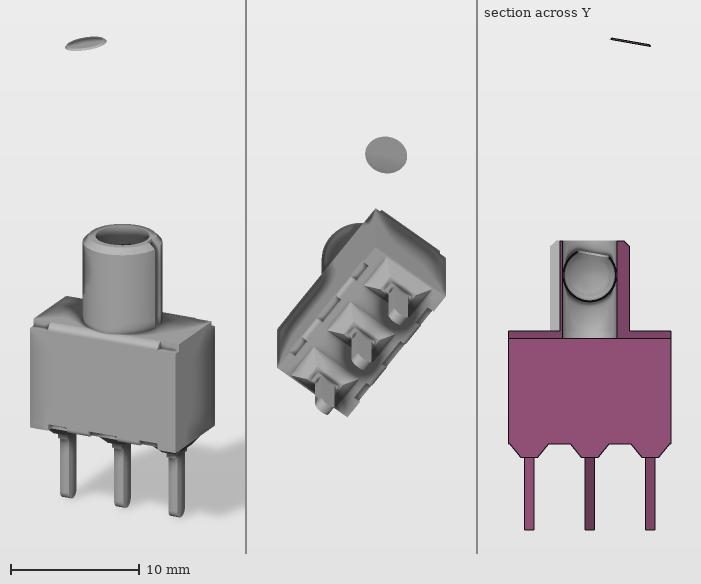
import cadquery as cq
import math


body_length = 12.7
body_width = 6.85
body_height = 8.85

sheet = 0.57
panel_length = 9.55
panel_gap = 0.55
tab_inner_x = 1.23
tab_outer_x = 3.15
tab_round = 0.4

bushing_diameter = 6.2
bushing_top = 15.85
bushing_chamfer = 0.45
bore_diameter = 4.2
keyway_width = 1.0
keyway_floor_x = 2.35

ball_diameter = bore_diameter
ball_depth = 2.7
ball_wall = 0.1
mouth_diameter = 2.45
lever_tilt = 10.0
cap_diameter = 3.3
cap_thickness = 0.15
overall_height = 38.32

terminal_pitch = 4.7
terminal_thickness = 0.8
terminal_width = 1.3
terminal_reach = 6.65
collar_width = 2.0
collar_height = 0.45
boss_height = 1.05
boss_base = (3.0, 4.45)
boss_tip = (1.3, 2.53)

top_of_part = overall_height - terminal_reach
block_top = body_height - sheet
panel_pocket_y = body_width / 2 - sheet
terminal_xs = [i * terminal_pitch for i in (-1, 0, 1)]
tilt = math.radians(lever_tilt)
ball_radius = ball_diameter / 2
ball_center_z = bushing_top - ball_depth
cap_top_diameter = cap_diameter - 2 * cap_thickness
cap_top_distance = (top_of_part - ball_center_z - cap_top_diameter / 2 * math.sin(tilt)) / math.cos(tilt)


def block(length, width, bottom, top, center_x=0.0, center_y=0.0):
    """Upright box centred at (center_x, center_y) between two heights."""
    return (
        cq.Workplane("XY", origin=(center_x, center_y, bottom))
        .rect(length, width)
        .extrude(top - bottom)
    )


def tapered_boss(x):
    """Four-sided boss that narrows down to a terminal."""
    return (
        cq.Workplane("XY", origin=(x, 0, 0))
        .rect(*boss_base)
        .workplane(offset=-boss_height)
        .rect(*boss_tip)
        .loft(combine=True)
    )


def make_housing():
    """Block with a pocket in each long side for the cover, and the terminal bosses."""
    housing = block(body_length, body_width, 0, block_top)
    for side in (-1, 1):
        pocket_y = side * (panel_pocket_y + sheet / 2)
        housing = housing.cut(block(panel_length, sheet, 0, block_top, center_y=pocket_y))
    for x in terminal_xs:
        housing = housing.union(tapered_boss(x))
    return housing


def make_folded_sheet():
    """Top plate with a side panel folded down each long side, ending in rounded tabs."""
    plate = block(body_length, 2 * panel_pocket_y, block_top, body_height)
    saddle = block(panel_length, body_width, panel_gap, body_height)
    for x in (-1, 1):
        tab_x = x * (tab_inner_x + tab_outer_x) / 2
        tab = block(tab_outer_x - tab_inner_x, body_width, 0, body_height, center_x=tab_x)
        saddle = saddle.union(tab.edges("|X and <Z").fillet(tab_round))
    bend_envelope = block(panel_length, body_width, 0, body_height).edges("|X and >Z").fillet(sheet)
    saddle = saddle.intersect(bend_envelope)
    saddle = saddle.cut(block(panel_length, 2 * panel_pocket_y, 0, block_top))
    return plate.union(saddle)


def make_cover():
    """Folded sheet with its keyed bushing, bored through to the housing."""
    bushing = (
        cq.Workplane("XY", origin=(0, 0, block_top))
        .circle(bushing_diameter / 2)
        .extrude(bushing_top - block_top)
        .faces(">Z")
        .chamfer(bushing_chamfer)
    )
    keyway_depth = bushing_diameter / 2 - keyway_floor_x
    keyway_x = keyway_floor_x + keyway_depth / 2
    keyway = block(keyway_depth, keyway_width, body_height, bushing_top, center_x=keyway_x)
    bore = (
        cq.Workplane("XY", origin=(0, 0, block_top))
        .circle(bore_diameter / 2)
        .extrude(bushing_top - block_top)
    )
    return make_folded_sheet().union(bushing.cut(keyway)).cut(bore)


def place_on_lever(upright):
    """Tilt a shape about the ball centre toward -X and lift it to the ball."""
    return upright.rotate((0, 0, 0), (0, 1, 0), -lever_tilt).translate((0, 0, ball_center_z))


def make_ball():
    """Thin-walled hollow ball with a round mouth facing the cap."""
    cavity = cq.Workplane("XY").sphere(ball_radius - ball_wall)
    mouth = cq.Workplane("XY").circle(mouth_diameter / 2).extrude(ball_diameter)
    return place_on_lever(cq.Workplane("XY").sphere(ball_radius).cut(cavity).cut(mouth))


def make_cap():
    """Thin disc whose whole edge is a 45 degree bevel."""
    cap = (
        cq.Workplane("XY", origin=(0, 0, cap_top_distance - cap_thickness))
        .circle(cap_diameter / 2)
        .workplane(offset=cap_thickness)
        .circle(cap_top_diameter / 2)
        .loft(combine=True)
    )
    return place_on_lever(cap)


def make_terminal(x):
    """Flat blade with a collar at its root and a full-round tip."""
    collar_bottom = -boss_height - collar_height
    tip_radius = terminal_width / 2
    tip_center_z = tip_radius - terminal_reach
    collar = block(terminal_thickness, collar_width, collar_bottom, -boss_height, center_x=x)
    blade = block(terminal_thickness, terminal_width, tip_center_z, collar_bottom, center_x=x)
    tip = (
        cq.Workplane("YZ", origin=(x - terminal_thickness / 2, 0, tip_center_z))
        .circle(tip_radius)
        .extrude(terminal_thickness)
    )
    return collar.union(blade).union(tip)


housing = make_housing()
cover = make_cover()
ball = make_ball()
cap = make_cap()
terminals = [make_terminal(x) for x in terminal_xs]

result = cq.Compound.makeCompound(
    [housing.val(), cover.val(), ball.val(), cap.val(), *[terminal.val() for terminal in terminals]]
)